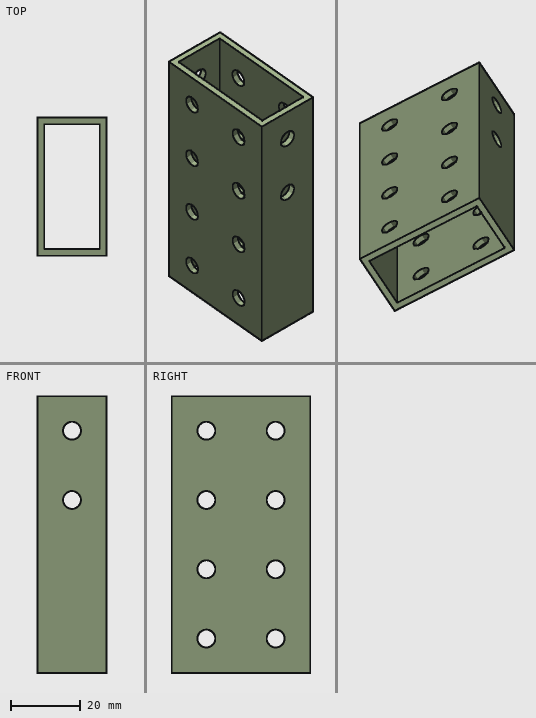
import cadquery as cq

width = 20.0
depth = 40.0
height = 80.0
wall = 2.0

hole_diameter = 5.1
pitch = 20.0
wide_side_columns = 2
wide_side_rows = 4
narrow_side_rows = 2


def make_tube():
    outer = cq.Workplane("XY").rect(width, depth)
    return outer.rect(width - 2 * wall, depth - 2 * wall).extrude(height)


def row_height(row):
    """Height of a hole row, counted down from the top edge."""
    return height - pitch / 2 - row * pitch


def wide_side_holes():
    """Cutters along X that pass through both wide walls."""
    first_column = -pitch * (wide_side_columns - 1) / 2
    centres = [
        (first_column + column * pitch, row_height(row))
        for column in range(wide_side_columns)
        for row in range(wide_side_rows)
    ]
    profile = cq.Workplane("YZ").pushPoints(centres).circle(hole_diameter / 2)
    return profile.extrude(width, both=True)


def narrow_side_holes():
    """Cutters along Y that pass through both narrow walls."""
    centres = [(0, row_height(row)) for row in range(narrow_side_rows)]
    profile = cq.Workplane("XZ").pushPoints(centres).circle(hole_diameter / 2)
    return profile.extrude(depth, both=True)


result = make_tube().cut(wide_side_holes()).cut(narrow_side_holes())